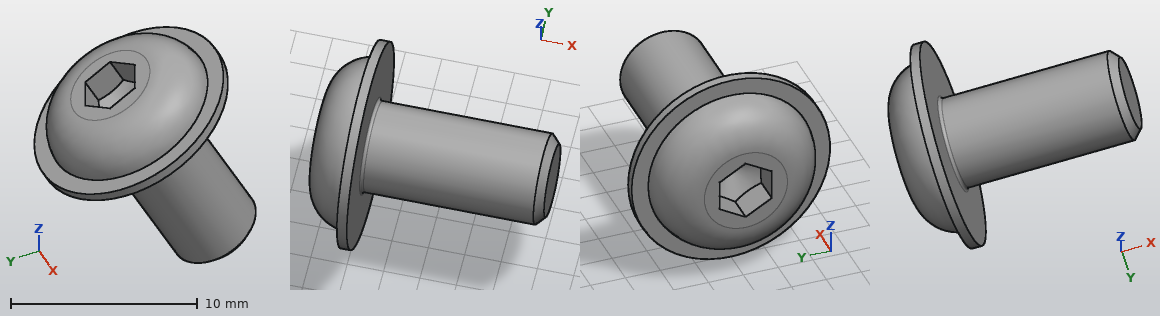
import cadquery as cq
import math

total_length = 12.75
shank_diameter = 5.0
end_chamfer_length = 0.47
end_chamfer_depth = 0.5
neck_fillet = 0.18

flange_diameter = 11.4
flange_thickness = 0.55
head_height = 2.2
head_diameter = 9.5
head_face_diameter = 4.77

socket_across_flats = 3.0
socket_depth = 1.55
socket_cone_angle = 120.0

shank_radius = shank_diameter / 2
flange_radius = flange_diameter / 2
head_radius = head_diameter / 2
head_face_radius = head_face_diameter / 2
flange_back = head_height + flange_thickness


def dome_midpoint():
    """Middle of the dome arc, which leaves the flat head face tangentially."""
    radial_rise = head_radius - head_face_radius
    dome_radius = (head_height**2 + radial_rise**2) / (2 * head_height)
    half_angle = math.atan2(radial_rise, dome_radius - head_height) / 2
    return (
        dome_radius * (1 - math.cos(half_angle)),
        head_face_radius + dome_radius * math.sin(half_angle),
    )


def make_body():
    """Revolve the half profile; profile X is axial and profile Y is radial."""
    neck_diagonal = neck_fillet * (1 - math.sqrt(0.5))
    return (
        cq.Workplane("XY")
        .moveTo(0, 0)
        .lineTo(0, head_face_radius)
        .threePointArc(dome_midpoint(), (head_height, head_radius))
        .lineTo(head_height, flange_radius)
        .lineTo(flange_back, flange_radius)
        .lineTo(flange_back, shank_radius + neck_fillet)
        .threePointArc(
            (flange_back + neck_diagonal, shank_radius + neck_diagonal),
            (flange_back + neck_fillet, shank_radius),
        )
        .lineTo(total_length - end_chamfer_length, shank_radius)
        .lineTo(total_length, shank_radius - end_chamfer_depth)
        .lineTo(total_length, 0)
        .close()
        .revolve(360, (0, 0, 0), (1, 0, 0))
    )


def make_socket():
    """Hexagonal recess with two flats facing +Y and -Y and a conical floor."""
    corner_radius = socket_across_flats / math.sqrt(3)
    cone_depth = corner_radius / math.tan(math.radians(socket_cone_angle / 2))
    hexagon = (
        cq.Workplane("YZ")
        .transformed(rotate=(0, 0, 90))
        .polygon(6, 2 * corner_radius)
        .extrude(socket_depth + cone_depth)
    )
    pointed_cylinder = (
        cq.Workplane("XY")
        .polyline([
            (0, 0),
            (0, corner_radius),
            (socket_depth, corner_radius),
            (socket_depth + cone_depth, 0),
        ])
        .close()
        .revolve(360, (0, 0, 0), (1, 0, 0))
    )
    return hexagon.intersect(pointed_cylinder)


result = make_body().cut(make_socket())